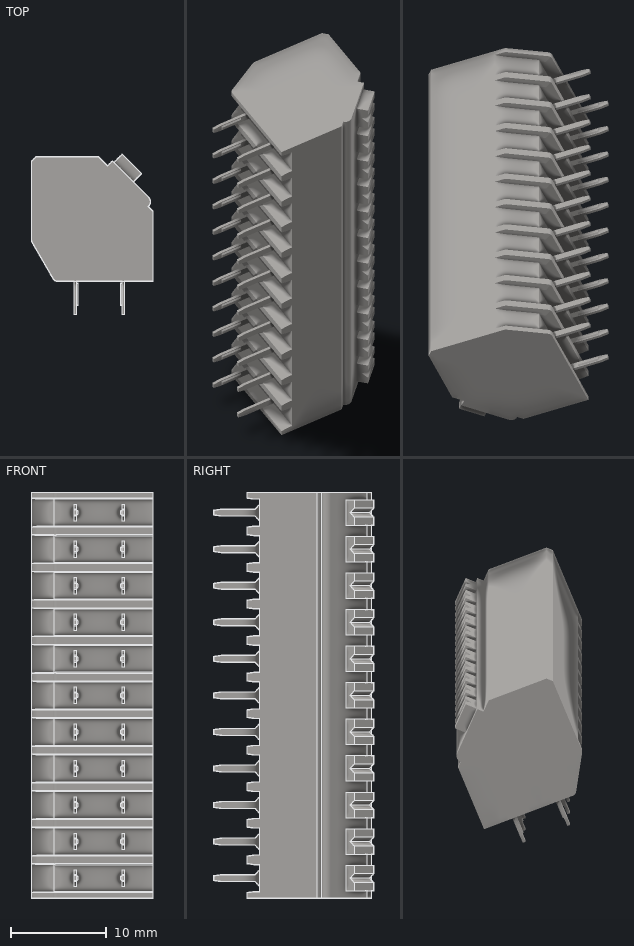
import cadquery as cq
import math

POLE_COUNT = 11
PITCH = 3.81
LENGTH = 42.3
WIDTH = 12.7
HEIGHT = 13.0
BACK_EDGE_CHAMFER = 0.5

FOOT_ANGLE = 60.0
FOOT_HEIGHT = 4.18
FOOT_TOP_RADIUS = 0.75
FOOT_BOTTOM_RADIUS = 0.5
FOOT_RUN = FOOT_HEIGHT / math.tan(math.radians(FOOT_ANGLE))

SHOULDER_SUM = 20.0
RAISED_SUM = 21.0
RAISED_STEP = (RAISED_SUM - SHOULDER_SUM) / 2
RAISED_START_X = 7.95
RAISED_END_X = 12.2
RAISED_END_RADIUS = 0.65

POCKET_WIDTH = 3.01
POCKET_FLOOR_Y = 1.3
POCKET_TOP_Y = 5.35
BEVEL_DEPTH = 0.75
BEVEL_WIDTH = 0.11
POCKET_CORNER_X = (POCKET_TOP_Y - POCKET_FLOOR_Y) / math.tan(math.radians(FOOT_ANGLE))
GROOVE_DEPTH = HEIGHT / 2
GROOVE_HALF_LENGTH = 2 * WIDTH
CLEARANCE = 1.0

BUTTON_WIDTH = 2.66
BUTTON_LENGTH = 2.88
BUTTON_TIP_X = 9.47
BUTTON_TIP_Y = 13.25
BUTTON_HEIGHT = (BUTTON_TIP_X + BUTTON_TIP_Y - RAISED_SUM) / math.sqrt(2)
NOTCH_WIDTH = 0.95
NOTCH_DEPTH = 0.64

PIN_SPACING = 5.0
FIRST_PIN_X = 4.58
PIN_THICKNESS = 0.3
PIN_WIDTH = 0.75
PIN_END_Y = -3.47
PIN_TIP_WIDTH = 0.5
PIN_TIP_LENGTH = 0.85
PIN_ROOT_WIDTH = 1.7
PIN_FLARE_END_Y = 0.87
RIB_HEIGHT = 0.14
RIB_BASE_WIDTH = 0.55
RIB_CREST_WIDTH = 0.3
RIB_START_Y = -0.2
RIB_END_Y = -2.5


def make_housing():
    """Full-length prism with the common outline of the end faces and partition walls."""
    shoulder_x = SHOULDER_SUM - HEIGHT
    raised_tip = (RAISED_END_X + RAISED_STEP, SHOULDER_SUM - RAISED_END_X + RAISED_STEP)
    outline = [
        (0, FOOT_HEIGHT),
        (FOOT_RUN, 0),
        (WIDTH, 0),
        (WIDTH, SHOULDER_SUM - WIDTH),
        (RAISED_END_X, SHOULDER_SUM - RAISED_END_X),
        raised_tip,
        (RAISED_START_X + RAISED_STEP, SHOULDER_SUM - RAISED_START_X + RAISED_STEP),
        (RAISED_START_X, SHOULDER_SUM - RAISED_START_X),
        (shoulder_x, HEIGHT),
        (BACK_EDGE_CHAMFER, HEIGHT),
        (0, HEIGHT - BACK_EDGE_CHAMFER),
    ]
    prism = cq.Workplane("XY").polyline(outline).close().extrude(LENGTH / 2, both=True)
    rounded_corners = (
        ((0, FOOT_HEIGHT), FOOT_TOP_RADIUS),
        ((FOOT_RUN, 0), FOOT_BOTTOM_RADIUS),
        (raised_tip, RAISED_END_RADIUS),
    )
    for (x, y), radius in rounded_corners:
        edge = cq.selectors.NearestToPointSelector((x, y, 0))
        prism = prism.edges("|Z").edges(edge).fillet(radius)
    return prism


def make_groove(x, y, inward_angle):
    """Bevelled groove sunk into a housing face through (x, y), as seen in its cross-section."""
    angle = math.radians(inward_angle)
    along = (-math.sin(angle), math.cos(angle), 0)
    plane = cq.Plane(origin=(x, y, 0), xDir=(0, 0, 1), normal=along)
    mouth = POCKET_WIDTH / 2
    root = mouth - BEVEL_WIDTH
    section = [
        (mouth, -CLEARANCE),
        (mouth, 0),
        (root, BEVEL_DEPTH),
        (root, GROOVE_DEPTH),
        (-root, GROOVE_DEPTH),
        (-root, BEVEL_DEPTH),
        (-mouth, 0),
        (-mouth, -CLEARANCE),
    ]
    return cq.Workplane(plane).polyline(section).close().extrude(GROOVE_HALF_LENGTH, both=True)


def make_pocket():
    """Cutter for the pocket of one pole, centred on z = 0."""
    slope = math.tan(math.radians(FOOT_ANGLE))
    floor_outline = [
        (-CLEARANCE, POCKET_TOP_Y + CLEARANCE * slope),
        (POCKET_CORNER_X, POCKET_FLOOR_Y),
        (WIDTH + CLEARANCE, POCKET_FLOOR_Y),
        (WIDTH + CLEARANCE, -CLEARANCE),
        (-CLEARANCE, -CLEARANCE),
    ]
    block = cq.Workplane("XY").polyline(floor_outline).close().extrude(PITCH / 2, both=True)
    grooves = make_groove(FOOT_RUN, 0, 90)
    grooves = grooves.union(make_groove(FOOT_RUN, 0, 90 - FOOT_ANGLE))
    grooves = grooves.union(make_groove(0, FOOT_HEIGHT, 0))
    return block.intersect(grooves)


def make_button():
    """Push button with a V notch along its top, centred on z = 0."""
    drop = BUTTON_HEIGHT / math.sqrt(2)
    run = BUTTON_LENGTH / math.sqrt(2)
    base = (BUTTON_TIP_X - drop + run, BUTTON_TIP_Y - drop - run, 0)
    plane = cq.Plane(origin=base, xDir=(0, 0, 1), normal=(-1, 1, 0))
    section = [
        (-BUTTON_WIDTH / 2, 0),
        (BUTTON_WIDTH / 2, 0),
        (BUTTON_WIDTH / 2, BUTTON_HEIGHT),
        (NOTCH_WIDTH / 2, BUTTON_HEIGHT),
        (0, BUTTON_HEIGHT - NOTCH_DEPTH),
        (-NOTCH_WIDTH / 2, BUTTON_HEIGHT),
        (-BUTTON_WIDTH / 2, BUTTON_HEIGHT),
    ]
    return cq.Workplane(plane).polyline(section).close().extrude(BUTTON_LENGTH)


def make_pin(x, rib_side):
    """Flat pin at x with a raised rib on its +X (rib_side = 1) or -X (rib_side = -1) face."""
    half_outline = [
        (POCKET_FLOOR_Y, PIN_ROOT_WIDTH / 2),
        (PIN_FLARE_END_Y, PIN_WIDTH / 2),
        (PIN_END_Y + PIN_TIP_LENGTH, PIN_WIDTH / 2),
        (PIN_END_Y, PIN_TIP_WIDTH / 2),
    ]
    mirrored = [(y, -z) for y, z in reversed(half_outline)]
    blade = cq.Workplane("YZ").workplane(offset=x).polyline(half_outline + mirrored).close()
    blade = blade.extrude(PIN_THICKNESS / 2, both=True)

    face_x = x + rib_side * PIN_THICKNESS / 2
    crest_x = face_x + rib_side * RIB_HEIGHT
    rib_section = [
        (x, -RIB_BASE_WIDTH / 2),
        (face_x, -RIB_BASE_WIDTH / 2),
        (crest_x, -RIB_CREST_WIDTH / 2),
        (crest_x, RIB_CREST_WIDTH / 2),
        (face_x, RIB_BASE_WIDTH / 2),
        (x, RIB_BASE_WIDTH / 2),
    ]
    rib = cq.Workplane("XZ", origin=(0, RIB_START_Y, 0)).polyline(rib_section).close()
    return blade.union(rib.extrude(RIB_START_Y - RIB_END_Y))


pocket = make_pocket()
pole_parts = (
    make_button(),
    make_pin(FIRST_PIN_X, 1),
    make_pin(FIRST_PIN_X + PIN_SPACING, -1),
)

result = make_housing()
for pole in range(POLE_COUNT):
    pole_z = (pole - (POLE_COUNT - 1) / 2) * PITCH
    result = result.cut(pocket.translate((0, 0, pole_z)))
    for pole_part in pole_parts:
        result = result.union(pole_part.translate((0, 0, pole_z)))